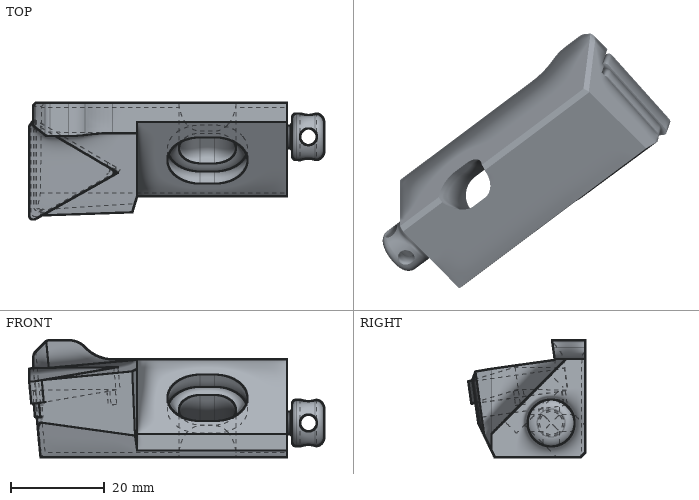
import cadquery as cq
import math

shank_end_x = 55.05
holder_back_y = 25.0
shank_top_z = 20.9
shank_top_front_y = 20.85
shank_front_y = 5.0
bottom_front_y = 5.7
undercut_run = 0.48
bottom_chamfer = 1.0

seat_origin = (0, 10.3, 17.5)
seat_rise_x = 0.092
seat_rise_y = 0.14

insert_side = 22.0
insert_thickness = 4.8
nose_radius = 0.9
shim_inset = 0.5
shim_nose_radius = 1.2
shim_thickness = 3.15

head_end_x = 23.05
head_left_u = 0.9
head_corner_radius = 0.9
head_front_v = -9.5
head_rear_front_v = -8.45
shoulder_setback_x = 1.0
shoulder_run_y = 3.3
head_depth = 37.8
ridge_front_v = 8.55
left_back_chamfer = 1.0

ridge_left_x = 0.9
ridge_top_z = 25.0
ridge_chamfer = 2.95
ridge_corner_radius = 1.5
crest_end_x = 8.4
crest_radius = 4.9
valley_radius = 8.0

slot_x = 38.05
slot_center_yz = 12.65
slot_travel = 3.1
slot_radius = 4.55
counterbore_radius = 7.0
counterbore_depth = 3.65

knob_y = 17.7
knob_z = 7.3
knob_diameter = 10.0
knob_start_x = 56.1
knob_end_x = 63.0
knob_inner_fillet = 1.0
knob_outer_fillet = 2.0
neck_diameter = 4.9
neck_flare = 0.3
cross_hole_diameter = 3.5
cross_hole_x = 59.6

reach = 63.0


def seat_plane(depth=0.0):
    """Plane parallel to the seat: local X is u, local Y is v, measured down from the rake face."""
    normal = cq.Vector(-seat_rise_x, -seat_rise_y, 1).normalized()
    across = cq.Vector(0, 1, seat_rise_y)
    origin = cq.Vector(*seat_origin) - normal * depth
    return cq.Plane(origin, across.cross(normal), normal)


def triangle_prism(depth, height, inset=0.0):
    """Sharp equilateral prism pointing along +u and growing up from the given depth."""
    half_side = insert_side / 2 - inset * math.sqrt(3)
    tip_u = inset + half_side * math.sqrt(3)
    corners = [(inset, -half_side), (tip_u, 0), (inset, half_side)]
    return cq.Workplane(seat_plane(depth)).polyline(corners).close().extrude(height)


def rounded_triangle(depth, height, radius, inset=0.0):
    """Triangular plate with its three upright corners rounded."""
    plate = triangle_prism(depth, height, inset)
    return plate.edges(cq.selectors.ParallelDirSelector(seat_plane().zDir)).fillet(radius)


def make_shank():
    """Straight rear length with the 45 degree slot face."""
    lower_face_run = bottom_front_y - shank_front_y
    section = [
        (bottom_front_y, 0),
        (shank_front_y, lower_face_run / undercut_run),
        (shank_front_y, shank_front_y),
        (shank_top_front_y, shank_top_z),
        (holder_back_y, shank_top_z),
        (holder_back_y, 0),
    ]
    start = cq.Workplane("YZ").workplane(offset=head_end_x)
    return start.polyline(section).close().extrude(shank_end_x - head_end_x)


def make_head():
    """Block under the rake face, with walls square to the seat."""
    outline = [
        (head_left_u, head_front_v),
        (2 * head_end_x, 2 * head_rear_front_v - head_front_v),
        (2 * head_end_x, reach),
        (head_left_u, reach),
    ]
    block = cq.Workplane(seat_plane(head_depth)).polyline(outline).close().extrude(head_depth)
    corner = cq.Workplane(seat_plane(head_depth)).center(head_left_u, head_front_v)
    corner_edge = cq.selectors.NearestToPointSelector(corner.plane.toWorldCoords((0, 0, head_depth / 2)))
    block = block.edges(corner_edge).fillet(head_corner_radius)
    section = [
        (bottom_front_y, 0),
        (bottom_front_y - undercut_run * shank_top_z, shank_top_z),
        (holder_back_y, shank_top_z),
        (holder_back_y, 0),
    ]
    start = cq.Workplane("YZ").workplane(offset=ridge_left_x)
    limits = start.polyline(section).close().extrude(head_end_x - ridge_left_x)
    shoulder = [
        (head_end_x, shank_front_y),
        (head_end_x - 2 * shoulder_setback_x, shank_front_y - 2 * shoulder_run_y),
        (head_end_x, shank_front_y - 2 * shoulder_run_y),
    ]
    shoulder_cut = cq.Workplane("XY").polyline(shoulder).close().extrude(ridge_top_z)
    return block.intersect(limits).cut(shoulder_cut)


def make_ridge():
    """Crest behind the rake face, sweeping down to the shank top in an S-curve."""
    drop = ridge_top_z - shank_top_z
    turn = math.acos(1 - drop / (crest_radius + valley_radius))
    bend_x = crest_end_x + crest_radius * math.sin(turn)
    bend_z = ridge_top_z - crest_radius * (1 - math.cos(turn))
    foot_x = bend_x + valley_radius * math.sin(turn)
    chamfer_foot_z = ridge_top_z - ridge_chamfer
    crest_mid = (
        crest_end_x + crest_radius * math.sin(turn / 2),
        ridge_top_z - crest_radius * (1 - math.cos(turn / 2)),
    )
    valley_mid = (
        foot_x - valley_radius * math.sin(turn / 2),
        shank_top_z + valley_radius * (1 - math.cos(turn / 2)),
    )
    profile = (
        cq.Workplane("XZ", origin=(0, holder_back_y, 0))
        .moveTo(ridge_left_x, 0)
        .lineTo(ridge_left_x, chamfer_foot_z)
        .lineTo(ridge_left_x + ridge_chamfer, ridge_top_z)
        .lineTo(crest_end_x, ridge_top_z)
        .threePointArc(crest_mid, (bend_x, bend_z))
        .threePointArc(valley_mid, (foot_x, shank_top_z))
        .lineTo(head_end_x, shank_top_z)
        .lineTo(head_end_x, 0)
        .close()
        .extrude(holder_back_y)
    )
    for x, z in [(ridge_left_x, chamfer_foot_z), (ridge_left_x + ridge_chamfer, ridge_top_z)]:
        corner = cq.selectors.NearestToPointSelector((x, holder_back_y / 2, z))
        profile = profile.edges(corner).fillet(ridge_corner_radius)
    footprint = [
        (head_left_u, ridge_front_v),
        (reach, ridge_front_v),
        (reach, reach),
        (head_left_u, reach),
    ]
    wall = cq.Workplane(seat_plane(head_depth)).polyline(footprint).close().extrude(2 * head_depth)
    return profile.intersect(wall)


def back_chamfers():
    """Long lower back edge, and the leaning edge where the left wall meets the back."""
    bottom = [
        (holder_back_y, 0),
        (holder_back_y - bottom_chamfer, 0),
        (holder_back_y, bottom_chamfer),
    ]
    bottom_cut = cq.Workplane("YZ").polyline(bottom).close().extrude(shank_end_x)

    def left_wall_x(z):
        return head_left_u + (seat_origin[2] - z) * seat_rise_x

    def corner_triangle(z):
        x = left_wall_x(z)
        leg = left_back_chamfer
        side = 2 * leg
        return [
            (x - leg, holder_back_y - side),
            (x - leg, holder_back_y + leg),
            (x + side, holder_back_y + leg),
        ]

    lower = cq.Wire.makePolygon([cq.Vector(x, y, 0) for x, y in corner_triangle(0)], close=True)
    upper = cq.Wire.makePolygon(
        [cq.Vector(x, y, ridge_top_z) for x, y in corner_triangle(ridge_top_z)], close=True
    )
    return bottom_cut.add(cq.Solid.makeLoft([lower, upper], True)).combine()


def clamping_slot():
    """Through slot with a matching counterbore."""
    face = cq.Plane((slot_x, slot_center_yz, slot_center_yz), (1, 0, 0), (0, -1, 1))
    through = (
        cq.Workplane(face)
        .slot2D(slot_travel + 2 * slot_radius, 2 * slot_radius)
        .extrude(reach / 2, both=True)
    )
    counterbore = (
        cq.Workplane(face)
        .workplane(offset=-counterbore_depth)
        .slot2D(slot_travel + 2 * counterbore_radius, 2 * counterbore_radius)
        .extrude(reach)
    )
    return through.union(counterbore)


def make_knob():
    """Knob and neck, with two cross holes for a turning pin."""
    end = cq.Workplane("YZ", origin=(0, knob_y, knob_z))
    head = end.workplane(offset=knob_start_x).circle(knob_diameter / 2).extrude(knob_end_x - knob_start_x)
    head = head.faces("<X").edges().fillet(knob_inner_fillet)
    head = head.faces(">X").edges().fillet(knob_outer_fillet)
    neck = end.workplane(offset=shank_end_x).circle(neck_diameter / 2).extrude(knob_start_x - shank_end_x)
    flare = cq.Solid.makeCone(
        neck_diameter / 2,
        neck_diameter / 2 + neck_flare,
        neck_flare,
        cq.Vector(knob_start_x - neck_flare, knob_y, knob_z),
        cq.Vector(1, 0, 0),
    )
    knob = head.union(neck).union(cq.Workplane(flare))
    cross_holes = cq.Workplane("XY")
    for direction in ("XY", "XZ"):
        hole_plane = cq.Workplane(direction, origin=(cross_hole_x, knob_y, knob_z))
        hole = hole_plane.circle(cross_hole_diameter / 2).extrude(knob_diameter, both=True)
        cross_holes = cross_holes.union(hole)
    return knob.cut(cross_holes)


def make_holder():
    """Holder with its fixed shim and adjusting knob, and the pocket for the insert."""
    shim_floor = insert_thickness + shim_thickness
    body = make_head().union(make_ridge()).union(make_shank())
    body = body.cut(back_chamfers()).cut(clamping_slot())
    body = body.cut(triangle_prism(insert_thickness, reach))
    body = body.cut(triangle_prism(shim_floor, shim_thickness, shim_inset))
    body = body.union(rounded_triangle(shim_floor, shim_thickness, shim_nose_radius, shim_inset))
    return body.union(make_knob())


holder = make_holder()
insert = rounded_triangle(insert_thickness, insert_thickness, nose_radius)

result = cq.Compound.makeCompound([*holder.solids().vals(), insert.val()])